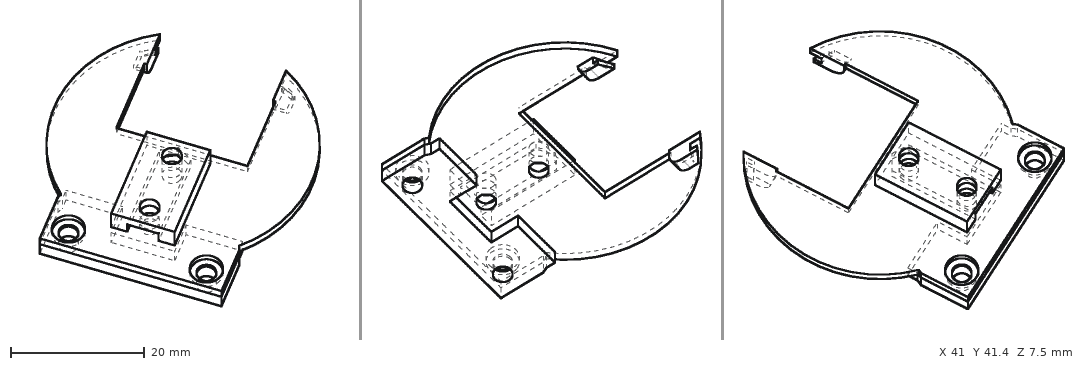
import cadquery as cq
import math


plate_thickness = 1.5
disc_radius = 20.5
overall_length = 41.4
tip_half_gap = 10.0
disc_center_y = overall_length - math.sqrt(disc_radius**2 - tip_half_gap**2)
mouth_half_width = 10.45
mouth_floor_y = 22.98
tip_step_y = 35.52

foot_half_width = 14.45
foot_taper_start_y = 8.07
foot_taper_end_y = 9.0
foot_taper_inset = 0.4
foot_back_y = 10.65
bar_thickness = 2.5

hole_diameter = 3.0
counterbore_diameter = 5.0
counterbore_depth = 1.0
foot_hole_x = 10.97
foot_hole_y = 3.05
foot_hole_points = [(-foot_hole_x, foot_hole_y), (foot_hole_x, foot_hole_y)]

block_width = 10.1
block_front_y = 5.55
block_length = 15.95
block_height = 3.5
block_hole_spacing = 10.0
front_hole_y = 8.53
rear_hole_y = front_hole_y + block_hole_spacing
channel_width = 5.0
channel_height = 1.85
nut_corner_radius = channel_width / math.sqrt(3)

hook_height = 2.4
hook_width = 2.15
hook_lip_thickness = 1.05
hook_lip_radius = 20.0
hook_neck_radius = 26.1
hook_neck_tip_y = 39.45
hook_neck_center_y = hook_neck_tip_y - math.sqrt(hook_neck_radius**2 - tip_half_gap**2)


def foot_prism(bottom_z, height):
    """Rectangular foot whose rear part narrows slightly."""
    narrow = foot_half_width - foot_taper_inset
    return (
        cq.Workplane("XY").workplane(offset=bottom_z)
        .moveTo(-foot_half_width, 0)
        .lineTo(foot_half_width, 0)
        .lineTo(foot_half_width, foot_taper_start_y)
        .lineTo(narrow, foot_taper_end_y)
        .lineTo(narrow, foot_back_y)
        .lineTo(-narrow, foot_back_y)
        .lineTo(-narrow, foot_taper_end_y)
        .lineTo(-foot_half_width, foot_taper_start_y)
        .close()
        .extrude(height)
    )


def cylinders(points, diameter, bottom_z, height):
    return (
        cq.Workplane("XY").workplane(offset=bottom_z)
        .pushPoints(points).circle(diameter / 2).extrude(height)
    )


def centered_box(width, front_y, back_y, bottom_z, height):
    """Box symmetric about the YZ plane."""
    return cq.Workplane("XY").box(
        width, back_y - front_y, height, centered=(True, False, False)
    ).translate((0, front_y, bottom_z))


def make_plate_outline():
    """Disc with a foot in front and a stepped mouth open to the rear."""
    disc = (
        cq.Workplane("XY").center(0, disc_center_y)
        .circle(disc_radius).extrude(plate_thickness)
    )
    mouth = centered_box(2 * mouth_half_width, mouth_floor_y, tip_step_y, 0, plate_thickness)
    disc_back_y = disc_center_y + disc_radius
    tip_gap = centered_box(2 * tip_half_gap, tip_step_y, disc_back_y, 0, plate_thickness)
    return disc.union(foot_prism(0, plate_thickness)).cut(mouth).cut(tip_gap)


def make_hook():
    """Right-hand hook: rounded toward the front, with a lip toward the rear."""
    lip_top_z = hook_lip_thickness - hook_height
    profile = (
        cq.Workplane("YZ").workplane(offset=tip_half_gap)
        .moveTo(tip_step_y, 0)
        .radiusArc((tip_step_y + hook_height, -hook_height), -hook_height)
        .lineTo(overall_length, -hook_height)
        .lineTo(overall_length, 0)
        .close()
        .extrude(hook_width)
    )
    lip_limit = (
        cq.Workplane("XY").workplane(offset=-hook_height)
        .center(0, disc_center_y).circle(hook_lip_radius).extrude(hook_lip_thickness)
    )
    neck_limit = (
        cq.Workplane("XY").workplane(offset=lip_top_z)
        .center(0, hook_neck_center_y)
        .circle(hook_neck_radius).extrude(-lip_top_z)
    )
    return profile.intersect(lip_limit.union(neck_limit))


def make_nut_channel():
    """Channel from the block's front face, ending in half a hexagon round the rear hole."""
    half_width = channel_width / 2
    shoulder_y = rear_hole_y + nut_corner_radius / 2
    return (
        cq.Workplane("XY").workplane(offset=plate_thickness)
        .moveTo(-half_width, block_front_y)
        .lineTo(half_width, block_front_y)
        .lineTo(half_width, shoulder_y)
        .lineTo(0, rear_hole_y + nut_corner_radius)
        .lineTo(-half_width, shoulder_y)
        .close()
        .extrude(channel_height)
    )


def make_holder():
    """Plate, hooks and raised block in one piece."""
    holder = make_plate_outline()
    right_hook = make_hook()
    holder = holder.union(right_hook).union(right_hook.mirror("YZ"))

    block_back_y = block_front_y + block_length
    block = centered_box(block_width, block_front_y, block_back_y, plate_thickness, block_height)
    holder = holder.union(block.cut(make_nut_channel()))

    block_hole_points = [(0, front_hole_y), (0, rear_hole_y)]
    holder = holder.cut(
        cylinders(block_hole_points, hole_diameter, 0, plate_thickness + block_height)
    )
    holder = holder.cut(cylinders(foot_hole_points, hole_diameter, 0, plate_thickness))
    counterbore_floor_z = plate_thickness - counterbore_depth
    return holder.cut(
        cylinders(foot_hole_points, counterbore_diameter, counterbore_floor_z, counterbore_depth)
    )


def make_bar():
    """Separate bar below the foot, notched at the rear to clear the holes of the raised block."""
    bar = foot_prism(-bar_thickness, bar_thickness)
    notch = centered_box(block_width, block_front_y, foot_back_y, -bar_thickness, bar_thickness)
    screw_holes = cylinders(foot_hole_points, hole_diameter, -bar_thickness, bar_thickness)
    return bar.cut(notch).cut(screw_holes)


holder = make_holder()
bar = make_bar()
result = cq.Compound.makeCompound([holder.val(), bar.val()])